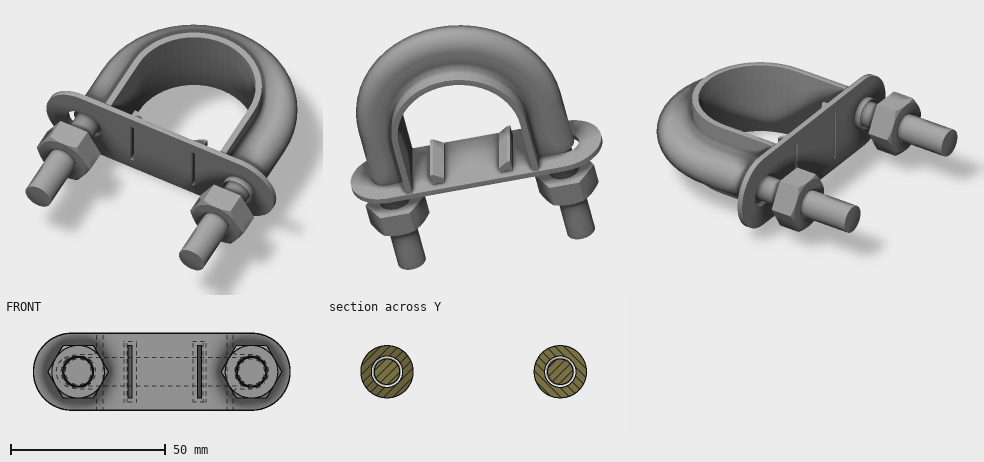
import cadquery as cq
import math


leg_offset = 28.0
leg_positions = (-leg_offset, leg_offset)
bolt_end_y = -54.85
rod_diameter = 9.2
neck_diameter = 8.38

nut_across_flats = 17.0
nut_height = 8.0
nut_bore_diameter = 10.0
nut_outer_y = -37.9
nut_chamfer_angle = 30.0

plate_length = 83.0
plate_width = 25.0
plate_thickness = 1.8
plate_back_y = -19.75
plate_front_y = plate_back_y - plate_thickness
hole_diameter = 10.8
plate_center_x = -1.0
slot_length = 12.7
slot_width = 10.0
slot_center_x = -28.75

rib_middle_x = 11.2
rib_width = 4.1
rib_length = 19.5
rib_height = 4.0
rib_low_height = 2.0
rib_crest_width = 1.0
groove_width = 1.25
groove_length = 17.0

band_inner_radius = 20.0
band_thickness = 2.0
band_outer_radius = band_inner_radius + band_thickness
band_fillet = 1.5
sleeve_diameter = 11.0
collar_diameter = hole_diameter
collar_bore_diameter = 10.0
liner_plate_gap = 0.25
liner_end_y = plate_back_y + liner_plate_gap
collar_length = 2.0
collar_end_y = plate_front_y - collar_length
fillet_search_margin = 0.1


def leg_cylinder(x, diameter, start_y, end_y):
    """Cylinder on a leg axis from start_y down to end_y."""
    return (
        cq.Workplane("XZ", origin=(x, start_y, 0))
        .circle(diameter / 2)
        .extrude(start_y - end_y)
    )


def u_rod(diameter, end_y):
    """Round rod following the arch and both legs down to end_y."""
    rod = (
        cq.Workplane("XZ")
        .center(leg_offset, 0)
        .circle(diameter / 2)
        .revolve(180, (-leg_offset, 0, 0), (-leg_offset, 1, 0))
    )
    for x in leg_positions:
        rod = rod.union(leg_cylinder(x, diameter, 0, end_y))
    return rod


def arch_slab(radius, width):
    """Solid U-shaped slab, centred on Z, with its open end at the liner end."""
    return (
        cq.Workplane("XY", origin=(0, 0, -width / 2))
        .moveTo(radius, liner_end_y)
        .lineTo(radius, 0)
        .threePointArc((0, radius), (-radius, 0))
        .lineTo(-radius, liner_end_y)
        .close()
        .extrude(width)
    )


def make_u_bolt():
    """Bent rod that fills the sleeve, necks down to the nuts and ends in full-size tips."""
    bolt = u_rod(rod_diameter, liner_end_y)
    for x in leg_positions:
        bolt = bolt.union(leg_cylinder(x, neck_diameter, liner_end_y, nut_outer_y))
        bolt = bolt.union(leg_cylinder(x, rod_diameter, nut_outer_y, bolt_end_y))
    return bolt


def make_liner():
    """Band and sleeve joined by a filleted web, with a collar on the right leg."""
    band = arch_slab(band_outer_radius, plate_width)
    web = arch_slab(leg_offset, sleeve_diameter)
    reach = band_outer_radius + fillet_search_margin
    depth = sleeve_diameter / 2 + fillet_search_margin
    concave_edges = cq.selectors.BoxSelector(
        (-reach, liner_end_y - fillet_search_margin, -depth),
        (reach, reach, depth),
        boundingbox=True,
    )
    body = band.union(web).edges(concave_edges).edges("not |X").fillet(band_fillet)

    body = body.union(u_rod(sleeve_diameter, liner_end_y))
    body = body.cut(arch_slab(band_inner_radius, plate_width))
    body = body.cut(u_rod(rod_diameter, liner_end_y))

    collar = leg_cylinder(leg_offset, collar_diameter, liner_end_y, collar_end_y)
    collar_bore = leg_cylinder(leg_offset, collar_bore_diameter, liner_end_y, collar_end_y)
    return body.union(collar.cut(collar_bore))


def rib_profile(side):
    """Rib section: high on the outer side, sloping down towards the middle."""
    outer = rib_middle_x + rib_width / 2
    inner = rib_middle_x - rib_width / 2
    points = [
        (outer, plate_back_y),
        (outer, plate_back_y + rib_height),
        (outer - rib_crest_width, plate_back_y + rib_height),
        (inner, plate_back_y + rib_low_height),
        (inner, plate_back_y),
    ]
    return [(side * x, y) for x, y in points]


def groove_profile(side):
    """Groove section, with a floor parallel to the slope of the rib."""
    outer = rib_middle_x + groove_width / 2
    inner = rib_middle_x - groove_width / 2
    slope = (rib_height - rib_low_height) / (rib_width - rib_crest_width)
    points = [
        (outer, plate_front_y),
        (outer, plate_back_y + slope * groove_width),
        (inner, plate_back_y),
        (inner, plate_front_y),
    ]
    return [(side * x, y) for x, y in points]


def prism(points, length):
    """Straight bar along Z, centred on the middle plane."""
    return cq.Workplane("XY").polyline(points).close().extrude(length / 2, both=True)


def make_plate():
    """Oblong plate with a round hole, a slotted hole and two grooved ribs."""
    back = cq.Workplane("XZ", origin=(0, plate_back_y, 0))
    plate = back.center(plate_center_x, 0).slot2D(plate_length, plate_width).extrude(plate_thickness)
    round_hole = back.center(leg_offset, 0).circle(hole_diameter / 2).extrude(plate_thickness)
    slotted_hole = (
        back.center(slot_center_x, 0)
        .slot2D(slot_length, slot_width)
        .extrude(plate_thickness)
    )
    plate = plate.cut(round_hole).cut(slotted_hole)
    for side in (-1, 1):
        plate = plate.union(prism(rib_profile(side), rib_length))
        plate = plate.cut(prism(groove_profile(side), groove_length))
    return plate


def make_nut(x):
    """Hexagon nut with corners along X, chamfered on the outer face only."""
    corner_radius = nut_across_flats / math.sqrt(3)
    flat_radius = nut_across_flats / 2
    chamfer_height = (corner_radius - flat_radius) * math.tan(math.radians(nut_chamfer_angle))
    inner_y = nut_outer_y + nut_height
    hexagon = (
        cq.Workplane("XZ", origin=(x, inner_y, 0))
        .polygon(6, 2 * corner_radius)
        .circle(nut_bore_diameter / 2)
        .extrude(nut_height)
    )
    envelope = (
        cq.Workplane("XY")
        .moveTo(0, inner_y)
        .lineTo(corner_radius, inner_y)
        .lineTo(corner_radius, nut_outer_y + chamfer_height)
        .lineTo(flat_radius, nut_outer_y)
        .lineTo(0, nut_outer_y)
        .close()
        .revolve(360, (0, 0, 0), (0, 1, 0))
        .translate((x, 0, 0))
    )
    return hexagon.intersect(envelope)


u_bolt = make_u_bolt()
liner = make_liner()
plate = make_plate()
nuts = [make_nut(x) for x in leg_positions]

result = cq.Compound.makeCompound([u_bolt.val(), liner.val(), plate.val(), *[nut.val() for nut in nuts]])